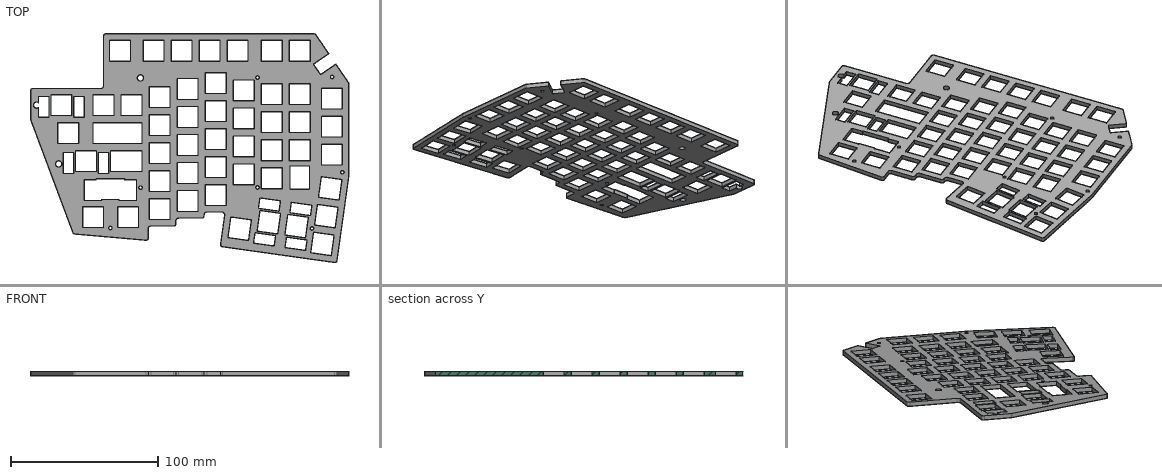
import cadquery as cq
import math


LENGTH_X = 216.55
LENGTH_Y = 155.64
THICKNESS = 3.0

KEY_PITCH = 19.05
SWITCH_SIZE = 14.0
TALL_SWITCH_X = 13.2
TALL_SWITCH_Y = 15.6

STABILIZER_WIDTH = 7.0
STABILIZER_LENGTH = 14.0
STABILIZER_SPACING = 11.95
STABILIZER_OFFSET = 1.27

SCREW_DIAMETER = 2.2
STANDOFF_DIAMETER = 4.1

CONVEX_RADIUS = 1.6
CONCAVE_RADIUS = 1.8

RIGHT = LENGTH_X / 2
LEFT = -RIGHT
TOP = LENGTH_Y / 2

MAIN_FIRST_X = -20.45
MAIN_COLUMNS = [(34.75, 5), (40.25, 5), (44.25, 5), (39.3, 4), (36.7, 4), (36.7, 3)]
TALL_SWITCH_COLUMN = 5
TALL_SWITCH_CENTER_Y = -20.1
EDGE_COLUMN_X = 96.65
EDGE_COLUMN_TOP_Y = 33.7
EDGE_COLUMN_KEYS = 3

TOP_ROW_Y = 66.2
TOP_ROW_LONE_X = -47.4
TOP_ROW_FOUR_X = -24.55

LEFT_ROW_TOP_Y = 29.3
LEFT_PAIR_FIRST_X = -58.63
LEFT_STABILIZED_X = -87.25
LEFT_SINGLE_X = -82.6
LEFT_LOWER_STABILIZED_X = -70.55
DOUBLE_CUTOUT_X = SWITCH_SIZE + KEY_PITCH
WIDE_CUTOUT_X = SWITCH_SIZE + 0.375 * KEY_PITCH
BOTTOM_PAIR_FIRST_X = -65.75
BOTTOM_PAIR_SPACING = 1.25 * KEY_PITCH

STEPPED_CENTER_X = -53.95
STEPPED_CENTER_Y = -28.5
STEPPED_LENGTH = 35.3
STEP_HEIGHT = 0.6
TOP_STEP_LENGTH = 19.3
BOTTOM_STEP_LENGTH = 12.0

TILT = 8.0
THUMB_ORIGIN = (90.2, -65.1)
THUMB_MARGIN = 11.45
THUMB_PLAIN_KEYS = [(0, 0), (0, 1), (0, 2), (-3, 0.125)]
THUMB_STABILIZED_KEYS = [((-2, 0.5), -1), ((-1, 0.5), 1)]
THUMB_LEFT_KEY_STEPS = 3

SLOPE_ANGLE = 34.3
SLOPE_END_Y = 44.1
NOTCH_START = 16.5
NOTCH_WIDTH = 8.5
NOTCH_DEPTH = 12.6

UPPER_STEP_X = -58.66
UPPER_STEP_Y = 40.6
LEFT_SLOPE_TOP_Y = 19.5
LEFT_SLOPE_ANGLE = 20.5
BOTTOM_SLOPE_ANGLE = 5.0
BOTTOM_SLOPE_RIGHT = (-28.1, -62.85)
STAIR_1_Y = -53.05
STAIR_2 = (-9.4, -47.65)
STAIR_3 = (9.85, -43.5)

SCREW_POINTS = [
    (96.85, 48.4),
    (46.1, 48.0),
    (46.1, -26.7),
    (103.8, -16.4),
    (83.1, -54.6),
    (-33.45, -26.9),
    (-54.0, -54.3),
]
STANDOFF_POINTS = [(-104.1, 29.3), (-89.1, -10.75), (-33.55, 47.75)]


def direction(degrees):
    """Unit vector at an angle counterclockwise from +X."""
    return (math.cos(math.radians(degrees)), math.sin(math.radians(degrees)))


def moved(point, along, distance):
    return (point[0] + along[0] * distance, point[1] + along[1] * distance)


def crossing(p, along_p, q, along_q):
    """Point where the line through p meets the line through q."""
    denominator = along_p[0] * along_q[1] - along_p[1] * along_q[0]
    gap = (q[0] - p[0], q[1] - p[1])
    return moved(p, along_p, (gap[0] * along_q[1] - gap[1] * along_q[0]) / denominator)


THUMB_RIGHTWARD = direction(-TILT)
THUMB_UPWARD = direction(90 - TILT)


def thumb_point(right, up):
    """Plate point at a distance from the thumb origin along the tilted axes."""
    return moved(moved(THUMB_ORIGIN, THUMB_RIGHTWARD, right), THUMB_UPWARD, up)


def outline_corners():
    """Corners of the plate, clockwise, each with its rounding radius (0 for sharp)."""
    slope_down = direction(SLOPE_ANGLE - 90)
    slope_inward = direction(SLOPE_ANGLE - 180)
    slope_end = (RIGHT, SLOPE_END_Y)
    slope_start = crossing(slope_end, slope_down, (0, TOP), (1, 0))
    notch_upper = moved(slope_start, slope_down, NOTCH_START)
    notch_lower = moved(notch_upper, slope_down, NOTCH_WIDTH)

    thumb_left = -THUMB_LEFT_KEY_STEPS * KEY_PITCH - THUMB_MARGIN
    thumb_bottom_right = thumb_point(THUMB_MARGIN, -THUMB_MARGIN)
    thumb_bottom_left = thumb_point(thumb_left, -THUMB_MARGIN)
    thumb_right_top = crossing(thumb_bottom_right, THUMB_UPWARD, (RIGHT, 0), (0, 1))
    thumb_left_top = crossing(thumb_bottom_left, THUMB_UPWARD, STAIR_3, (1, 0))

    left_slope_top = (LEFT, LEFT_SLOPE_TOP_Y)
    left_slope_bottom = crossing(
        left_slope_top, direction(LEFT_SLOPE_ANGLE - 90),
        BOTTOM_SLOPE_RIGHT, direction(-BOTTOM_SLOPE_ANGLE),
    )
    return [
        ((UPPER_STEP_X, TOP), CONVEX_RADIUS),
        (slope_start, CONVEX_RADIUS),
        (notch_upper, 0),
        (moved(notch_upper, slope_inward, NOTCH_DEPTH), 0),
        (moved(notch_lower, slope_inward, NOTCH_DEPTH), 0),
        (notch_lower, 0),
        (slope_end, CONVEX_RADIUS),
        (thumb_right_top, CONVEX_RADIUS),
        (thumb_bottom_right, CONVEX_RADIUS),
        (thumb_bottom_left, CONVEX_RADIUS),
        (thumb_left_top, CONCAVE_RADIUS),
        (STAIR_3, CONCAVE_RADIUS),
        ((STAIR_3[0], STAIR_2[1]), CONVEX_RADIUS),
        (STAIR_2, CONCAVE_RADIUS),
        ((STAIR_2[0], STAIR_1_Y), CONVEX_RADIUS),
        ((BOTTOM_SLOPE_RIGHT[0], STAIR_1_Y), CONVEX_RADIUS),
        (BOTTOM_SLOPE_RIGHT, CONVEX_RADIUS),
        (left_slope_bottom, CONVEX_RADIUS),
        (left_slope_top, CONVEX_RADIUS),
        ((LEFT, UPPER_STEP_Y), CONVEX_RADIUS),
        ((UPPER_STEP_X, UPPER_STEP_Y), CONCAVE_RADIUS),
    ]


def unit_towards(start, end):
    length = math.dist(start, end)
    return ((end[0] - start[0]) / length, (end[1] - start[1]) / length)


def corner_arc(before, corner, after, radius):
    """Start, middle and end of the arc that rounds a corner."""
    back = unit_towards(corner, before)
    ahead = unit_towards(corner, after)
    half_angle = math.acos(back[0] * ahead[0] + back[1] * ahead[1]) / 2
    setback = radius / math.tan(half_angle)
    bisector = unit_towards((0, 0), (back[0] + ahead[0], back[1] + ahead[1]))
    middle_distance = radius / math.sin(half_angle) - radius
    return (
        moved(corner, back, setback),
        moved(corner, bisector, middle_distance),
        moved(corner, ahead, setback),
    )


def make_plate():
    corners = outline_corners()
    count = len(corners)
    start = corner_arc(corners[-1][0], corners[0][0], corners[1][0], corners[0][1])[0]
    outline = cq.Workplane("XY").moveTo(*start)
    for i, (corner, radius) in enumerate(corners):
        if radius == 0:
            outline = outline.lineTo(*corner)
            continue
        before = corners[i - 1][0]
        after = corners[(i + 1) % count][0]
        arc_start, arc_middle, arc_end = corner_arc(before, corner, after, radius)
        if i > 0:
            outline = outline.lineTo(*arc_start)
        outline = outline.threePointArc(arc_middle, arc_end)
    return outline.close().extrude(THICKNESS)


def cut_rectangles(plate, centers, size_x, size_y):
    cutters = cq.Workplane("XY").pushPoints(centers).rect(size_x, size_y).extrude(THICKNESS)
    return plate.cut(cutters)


def cut_tilted_rectangle(plate, center, size_x, size_y):
    cutter = cq.Workplane("XY").transformed(offset=(*center, 0), rotate=(0, 0, -TILT))
    return plate.cut(cutter.rect(size_x, size_y).extrude(THICKNESS))


def cut_round_holes(plate, centers, diameter):
    cutters = cq.Workplane("XY").pushPoints(centers).circle(diameter / 2).extrude(THICKNESS)
    return plate.cut(cutters)


def column(x, top_y, count):
    return [(x, top_y - KEY_PITCH * i) for i in range(count)]


def row(first_x, y, count, spacing=KEY_PITCH):
    return [(first_x + spacing * i, y) for i in range(count)]


def main_column_x(index):
    return MAIN_FIRST_X + KEY_PITCH * index


def left_row_y(index):
    return LEFT_ROW_TOP_Y - KEY_PITCH * index


def stabilized_left_keys():
    return [(LEFT_STABILIZED_X, left_row_y(0)), (LEFT_LOWER_STABILIZED_X, left_row_y(2))]


def switch_centers():
    """Centres of all the square, untilted switch cutouts."""
    centers = []
    for i, (top_y, count) in enumerate(MAIN_COLUMNS):
        centers += column(main_column_x(i), top_y, count)
    centers += column(EDGE_COLUMN_X, EDGE_COLUMN_TOP_Y, EDGE_COLUMN_KEYS)
    centers.append((TOP_ROW_LONE_X, TOP_ROW_Y))
    centers += row(TOP_ROW_FOUR_X, TOP_ROW_Y, 4)
    centers += row(main_column_x(4), TOP_ROW_Y, 2)
    centers += row(LEFT_PAIR_FIRST_X, left_row_y(0), 2)
    centers.append((LEFT_SINGLE_X, left_row_y(1)))
    centers += row(BOTTOM_PAIR_FIRST_X, left_row_y(4), 2, BOTTOM_PAIR_SPACING)
    centers += stabilized_left_keys()
    return centers


def cut_wide_keys(plate):
    """Two wide cutouts that end level with the key pair above them."""
    right_end = LEFT_PAIR_FIRST_X + KEY_PITCH + SWITCH_SIZE / 2
    for row_index, length in [(1, DOUBLE_CUTOUT_X), (2, WIDE_CUTOUT_X)]:
        center = (right_end - length / 2, left_row_y(row_index))
        plate = cut_rectangles(plate, [center], length, SWITCH_SIZE)
    return plate


def cut_left_stabilizers(plate):
    slots = []
    for x, y in stabilized_left_keys():
        for side in (-1, 1):
            slots.append((x + side * STABILIZER_SPACING, y - STABILIZER_OFFSET))
    return cut_rectangles(plate, slots, STABILIZER_WIDTH, STABILIZER_LENGTH)


def cut_stepped_key(plate):
    """Long cutout whose top edge steps up and whose bottom edge steps up over a shorter length."""
    half = STEPPED_LENGTH / 2
    half_top = TOP_STEP_LENGTH / 2
    half_bottom = BOTTOM_STEP_LENGTH / 2
    top = SWITCH_SIZE / 2
    bottom = -top
    points = [
        (-half, bottom),
        (-half, top),
        (-half_top, top),
        (-half_top, top + STEP_HEIGHT),
        (half_top, top + STEP_HEIGHT),
        (half_top, top),
        (half, top),
        (half, bottom),
        (half_bottom, bottom),
        (half_bottom, bottom + STEP_HEIGHT),
        (-half_bottom, bottom + STEP_HEIGHT),
        (-half_bottom, bottom),
    ]
    cutter = cq.Workplane("XY", origin=(STEPPED_CENTER_X, STEPPED_CENTER_Y, 0))
    return plate.cut(cutter.polyline(points).close().extrude(THICKNESS))


def cut_thumb_keys(plate):
    for right, up in THUMB_PLAIN_KEYS:
        center = thumb_point(right * KEY_PITCH, up * KEY_PITCH)
        plate = cut_tilted_rectangle(plate, center, SWITCH_SIZE, SWITCH_SIZE)
    for (right, up), shift_side in THUMB_STABILIZED_KEYS:
        key_right = right * KEY_PITCH
        key_up = up * KEY_PITCH
        plate = cut_tilted_rectangle(plate, thumb_point(key_right, key_up), SWITCH_SIZE, SWITCH_SIZE)
        for side in (-1, 1):
            slot = thumb_point(
                key_right + shift_side * STABILIZER_OFFSET,
                key_up + side * STABILIZER_SPACING,
            )
            plate = cut_tilted_rectangle(plate, slot, STABILIZER_LENGTH, STABILIZER_WIDTH)
    return plate


plate = make_plate()
plate = cut_rectangles(plate, switch_centers(), SWITCH_SIZE, SWITCH_SIZE)
tall_switch_center = (main_column_x(TALL_SWITCH_COLUMN), TALL_SWITCH_CENTER_Y)
plate = cut_rectangles(plate, [tall_switch_center], TALL_SWITCH_X, TALL_SWITCH_Y)
plate = cut_wide_keys(plate)
plate = cut_left_stabilizers(plate)
plate = cut_stepped_key(plate)
plate = cut_thumb_keys(plate)
plate = cut_round_holes(plate, SCREW_POINTS, SCREW_DIAMETER)
plate = cut_round_holes(plate, STANDOFF_POINTS, STANDOFF_DIAMETER)
result = plate